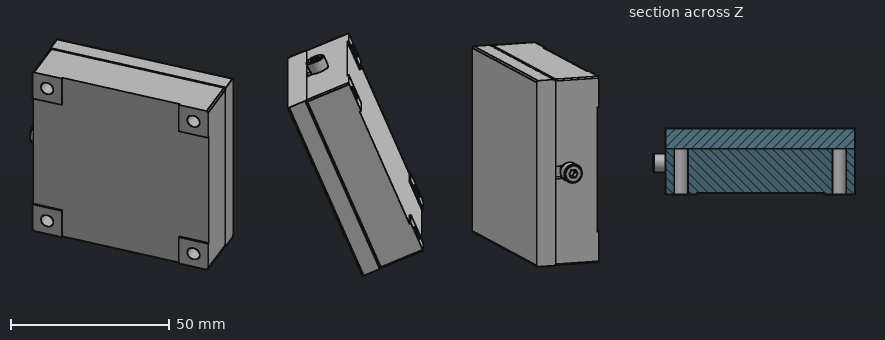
import cadquery as cq
import math

box_side = 60.0
housing_depth = 14.45
cover_depth = 6.5
edge_chamfer = 0.5

pad_side = 10.0
pad_height = 0.5
mount_hole_diameter = 4.2
mount_hole_spacing = box_side - pad_side

head_diameter = 6.0
head_length = 4.0
head_chamfer = 0.4
shank_diameter = 4.0
shank_length = 3.0
socket_across_flats = 2.5
socket_across_corners = 2 * socket_across_flats / math.sqrt(3)
socket_depth = 3.0
screw_y = -4.5
wall_x = -box_side / 2


def make_cover():
    """Rear plate, chamfered along its top and bottom edges on both faces."""
    plate = cq.Workplane("XY").box(box_side, cover_depth, box_side)
    plate = plate.edges("|X").chamfer(edge_chamfer)
    return plate.translate((0, cover_depth / 2, 0))


def make_screw_slot():
    """Round-ended slot in the -X wall that opens at the seam and seats the screw shank."""
    round_end = (
        cq.Workplane("YZ", origin=(wall_x, screw_y, 0))
        .circle(shank_diameter / 2)
        .extrude(shank_length)
    )
    opening = (
        cq.Workplane("YZ", origin=(wall_x, screw_y / 2, 0))
        .rect(-screw_y, shank_diameter)
        .extrude(shank_length)
    )
    return round_end.union(opening)


def make_front_recess():
    """Cross-shaped shallow cut in the front face that leaves a pad in each corner."""
    recess_width = box_side - 2 * pad_side
    front_face = cq.Workplane("XZ", origin=(0, -housing_depth, 0))
    upright_band = front_face.rect(recess_width, box_side).extrude(-pad_height)
    level_band = front_face.rect(box_side, recess_width).extrude(-pad_height)
    return upright_band.union(level_band)


def make_mount_holes():
    """Four holes, one at the centre of each pad, running back to the seam."""
    return (
        cq.Workplane("XZ")
        .rarray(mount_hole_spacing, mount_hole_spacing, 2, 2)
        .circle(mount_hole_diameter / 2)
        .extrude(housing_depth)
    )


def make_housing():
    """Front box with corner pads, mounting holes closed by the cover, and the screw slot."""
    block = cq.Workplane("XZ").rect(box_side, box_side).extrude(housing_depth)
    block = block.edges("|Y").chamfer(edge_chamfer)
    return block.cut(make_front_recess()).cut(make_mount_holes()).cut(make_screw_slot())


def make_screw():
    """Screw with a chamfered head outside the wall, a shank in the slot, and a hex socket."""
    wall_plane = cq.Workplane("YZ", origin=(wall_x, screw_y, 0))
    head = wall_plane.circle(head_diameter / 2).extrude(-head_length)
    head = head.faces("<X").chamfer(head_chamfer)
    shank = wall_plane.circle(shank_diameter / 2).extrude(shank_length)
    socket = (
        cq.Workplane("YZ", origin=(wall_x - head_length, screw_y, 0))
        .polygon(6, socket_across_corners)
        .extrude(socket_depth)
    )
    return head.union(shank).cut(socket)


cover = make_cover()
housing = make_housing()
screw = make_screw()

result = cq.Compound.makeCompound([cover.val(), housing.val(), screw.val()])